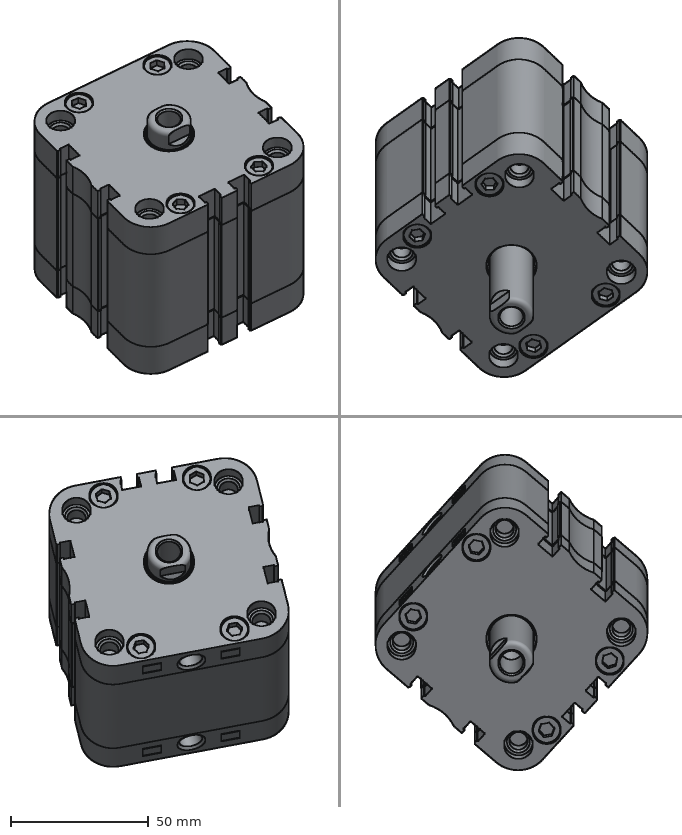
import cadquery as cq
import math

width = 77.0
corner_radius = 12.0
cap_height = 13.7
barrel_height = 46.6
rod_above = 8.0
rod_below = 33.0
housing_height = barrel_height + 2 * cap_height
half_width = width / 2

slot_opening = 5.5
slot_width = 6.7
slot_depth = 5.1
slot_lip = 1.5
slot_bevel = 0.3
cap_slot_growth = 0.3
slot_offset_y_sides = 13.0
slot_offset_x_side = slot_offset_y_sides / 2

relief_half_width = 6.0
relief_depth = 1.3

rod_diameter = 16.0
rod_edge_radius = 1.8
across_flats = 13.0
flat_length = 5.5
rod_thread_diameter = 8.5
rod_thread_mouth = 9.8
rod_thread_depth = 20.0
drill_point_angle = 118

rod_clearance = 16.6
recess_mouth = 18.4
recess_diameter = 18.0
recess_depth = 2.0
wiper_diameter = 17.7
wiper_mouth = 16.6

mount_pitch = 56.6
mount_counterbore = 10.5
mount_counterbore_depth = 5.0
mount_mouth = 8.4
mount_thread = 6.7
mount_thread_depth = 11.5

screw_spacing_x = 64.6
screw_spacing_y = 34.7
screw_bore = 10.4
screw_head = 9.8
screw_recess = 0.5
screw_gap_depth = 1.0
socket_across_flats = 5.1
socket_depth = 3.1
screws = [(-1, -1, 30), (-1, 1, 30), (1, 1, 0), (1, -1, -8)]

port_below_face = 7.6
port_mouth = 10.5
port_diameter = 8.5
port_depth = 10.0
label_width = 6.9
label_height = 5.1
label_depth = 0.2
label_offset = 14.6
label_below_face = 6.8


def cylinder(diameter, bottom, top):
    """Upright cylinder on the z axis between two heights."""
    return cq.Workplane("XY").workplane(offset=bottom).circle(diameter / 2).extrude(top - bottom)


def cone(bottom_diameter, top_diameter, bottom, top):
    """Upright truncated or pointed cone on the z axis between two heights."""
    height = top - bottom
    solid = cq.Solid.makeCone(bottom_diameter / 2, top_diameter / 2, height, cq.Vector(0, 0, bottom))
    return cq.Workplane(solid)


def slot_cutter(height, growth=0.0):
    """T-slot open towards +Y, centred on x = 0.

    The growth moves the floor and the -X walls outwards, up to the outer edge of the -X mouth bevel.
    """
    left_lip = -slot_opening / 2 - growth
    right_lip = slot_opening / 2
    left_wall = -slot_width / 2 - growth
    right_wall = slot_width / 2
    floor = -slot_depth - growth
    outline = [
        (left_wall, floor),
        (left_wall, -slot_lip),
        (left_lip, -slot_lip),
        (left_lip, -slot_bevel),
        (-slot_opening / 2 - slot_bevel, 0),
        (right_lip + slot_bevel, 0),
        (right_lip, -slot_bevel),
        (right_lip, -slot_lip),
        (right_wall, -slot_lip),
        (right_wall, floor),
    ]
    slot = cq.Workplane("XY").polyline(outline).close().extrude(height)
    return slot.translate((0, half_width, 0))


def relief_cutter(height):
    """Round relief in the +Y side."""
    return (
        cq.Workplane("XY")
        .moveTo(-relief_half_width, half_width)
        .threePointArc((0, half_width - relief_depth), (relief_half_width, half_width))
        .close()
        .extrude(height)
    )


def profile_block(height, slot_growth=0.0):
    """Housing profile with slots and reliefs, standing on z = 0."""
    block = cq.Workplane("XY").rect(width, width).extrude(height)
    block = block.edges("|Z").fillet(corner_radius)
    slot = slot_cutter(height, slot_growth)
    relief = relief_cutter(height)
    right_slot = slot.translate((slot_offset_y_sides, 0, 0))
    for cutter in (right_slot, right_slot.mirror("YZ"), relief):
        block = block.cut(cutter).cut(cutter.mirror("XZ"))
    for offset in (-slot_offset_x_side, slot_offset_x_side):
        block = block.cut(slot.translate((offset, 0, 0)).rotate((0, 0, 0), (0, 0, 1), -90))
    return block


def rod_opening_cutter():
    hole = cylinder(rod_clearance, 0, cap_height)
    bevel = (recess_mouth - recess_diameter) / 2
    recess = cylinder(recess_diameter, cap_height - recess_depth, cap_height)
    return hole.union(recess).union(cone(recess_diameter, recess_mouth, cap_height - bevel, cap_height))


def mount_hole_cutter():
    floor = cap_height - mount_counterbore_depth
    bevel = (mount_mouth - mount_thread) / 2
    counterbore = cylinder(mount_counterbore, floor, cap_height)
    thread = cylinder(mount_thread, cap_height - mount_thread_depth, floor)
    return counterbore.union(thread).union(cone(mount_thread, mount_mouth, floor - bevel, floor))


def screw_cutter(angle):
    """Ring gap around a slightly sunk screw head and its hexagon socket."""
    gap_floor = cap_height - screw_gap_depth
    gap = cylinder(screw_bore, gap_floor, cap_height)
    gap = gap.cut(cylinder(screw_head, gap_floor, cap_height - screw_recess))
    socket_diameter = socket_across_flats / math.cos(math.pi / 6)
    socket = cq.Workplane("XY").workplane(offset=cap_height - socket_depth).polygon(6, socket_diameter)
    socket = socket.extrude(socket_depth).rotate((0, 0, 0), (0, 0, 1), angle)
    return gap.union(socket)


def port_cutter():
    """Threaded port with a bevelled mouth, drilled along +X into the -X side."""
    bevel = (port_mouth - port_diameter) / 2
    port = cylinder(port_diameter, 0, port_depth).union(cone(port_mouth, port_diameter, 0, bevel))
    port = port.rotate((0, 0, 0), (0, 1, 0), 90)
    return port.translate((-half_width, 0, cap_height - port_below_face))


def label_cutter(side):
    recess = cq.Workplane("XY").box(2 * label_depth, label_width, label_height)
    return recess.translate((-half_width, side * label_offset, cap_height - label_below_face))


def make_cap():
    """End cap with its mating face on z = 0 and its outer face up."""
    cap = profile_block(cap_height, cap_slot_growth).cut(rod_opening_cutter())
    mount_hole = mount_hole_cutter()
    for side_x, side_y, angle in screws:
        cap = cap.cut(mount_hole.translate((side_x * mount_pitch / 2, side_y * mount_pitch / 2, 0)))
        place = (side_x * screw_spacing_x / 2, side_y * screw_spacing_y / 2, 0)
        cap = cap.cut(screw_cutter(angle).translate(place))
    cap = cap.cut(port_cutter())
    for side in (-1, 1):
        cap = cap.cut(label_cutter(side))
    return cap


def make_barrel():
    barrel = profile_block(barrel_height).cut(cylinder(rod_diameter, 0, barrel_height))
    return barrel.translate((0, 0, cap_height))


def make_wiper():
    """Ring around the rod, standing in the recess of the upper cap, with a bevelled inner lip."""
    bottom = housing_height - recess_depth
    bevel = (wiper_mouth - rod_diameter) / 2
    wiper = cylinder(wiper_diameter, bottom, housing_height)
    wiper = wiper.cut(cylinder(rod_diameter, bottom, housing_height))
    return wiper.cut(cone(rod_diameter, wiper_mouth, housing_height - bevel, housing_height))


def flat_cutter(end):
    """Wrench flat on the +X side below an upper rod end, run out at 45 degrees."""
    flat = across_flats / 2
    reach = rod_diameter
    bottom = end - flat_length
    outline = [(flat, end), (flat, bottom), (reach, bottom - (reach - flat)), (reach, end)]
    return cq.Workplane("XZ").polyline(outline).close().extrude(reach, both=True)


def rod_end_cutter(end):
    """Flats and threaded hole of an upper rod end."""
    bevel = (rod_thread_mouth - rod_thread_diameter) / 2
    floor = end - rod_thread_depth
    point = rod_thread_diameter / 2 / math.tan(math.radians(drill_point_angle / 2))
    hole = cylinder(rod_thread_diameter, floor, end)
    hole = hole.union(cone(0, rod_thread_diameter, floor - point, floor))
    hole = hole.union(cone(rod_thread_diameter, rod_thread_mouth, end - bevel, end))
    flat = flat_cutter(end)
    return [hole, flat, flat.mirror("YZ")]


def make_rod():
    """Through rod with the same rounded, flatted and threaded end at both sides."""
    half_length = (rod_below + housing_height + rod_above) / 2
    rod = cylinder(rod_diameter, -half_length, half_length)
    rod = rod.faces("<Z or >Z").edges().fillet(rod_edge_radius)
    for cutter in rod_end_cutter(half_length):
        rod = rod.cut(cutter).cut(cutter.mirror("XY"))
    return rod.translate((0, 0, half_length - rod_below))


cap = make_cap()
upper_cap = cap.translate((0, 0, housing_height - cap_height))
lower_cap = cap.rotate((0, 0, 0), (1, 0, 0), 180).translate((0, 0, cap_height))
barrel = make_barrel()
wiper = make_wiper()
rod = make_rod()

result = cq.Compound.makeCompound([upper_cap.val(), barrel.val(), lower_cap.val(), wiper.val(), rod.val()])